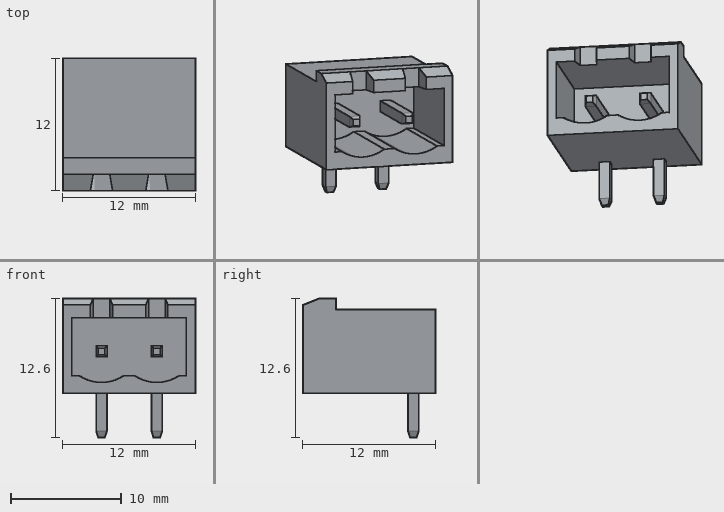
import cadquery as cq

width = 12.0
depth = 12.0
total_height = 12.6
body_height = 7.6
bar_height = 1.0
bar_depth = 3.0
bar_top = body_height + bar_height
slope_run = 1.5
slope_drop = 0.6

side_wall = 0.82
cavity_floor = 1.59
cavity_top = 6.85
cavity_depth = 9.0
channel_half_width = 2.0
channel_bottom = 0.98

notch_front_width = 2.0
notch_back_width = 1.5
notch_depth = slope_run

pitch = 5.0
pin_positions = (-pitch / 2, pitch / 2)
pin_size = 1.0
pin_tip_size = 0.6
taper_length = 0.6
pin_bottom = bar_top - total_height
pin_axis_y = depth - 2.0
pin_axis_z = 3.79
pin_front_y = 2.0


def make_housing():
    """Side profile of the body with its raised, sloped front bar."""
    profile = [
        (0, 0),
        (depth, 0),
        (depth, body_height),
        (bar_depth, body_height),
        (bar_depth, bar_top),
        (slope_run, bar_top),
        (0, bar_top - slope_drop),
    ]
    return cq.Workplane("YZ").polyline(profile).close().extrude(width / 2, both=True)


def make_cavity():
    """Front opening whose floor dips in a circular arc below each pin."""
    half_width = width / 2 - side_wall
    outline = cq.Workplane("XZ").moveTo(-half_width, cavity_top).lineTo(-half_width, cavity_floor)
    for x in pin_positions:
        outline = outline.lineTo(x - channel_half_width, cavity_floor)
        outline = outline.threePointArc((x, channel_bottom), (x + channel_half_width, cavity_floor))
    outline = outline.lineTo(half_width, cavity_floor).lineTo(half_width, cavity_top).close()
    return outline.extrude(-cavity_depth)


def make_notch(x):
    """Notch from the cavity up through the bar, narrowing toward the back."""
    outline = [
        (x - notch_front_width / 2, 0),
        (x + notch_front_width / 2, 0),
        (x + notch_back_width / 2, notch_depth),
        (x - notch_back_width / 2, notch_depth),
    ]
    notch_base = (cavity_floor + cavity_top) / 2
    return cq.Workplane("XY").workplane(offset=notch_base).polyline(outline).close().extrude(bar_top - notch_base)


def make_leg(start, direction, length):
    """Square bar from start along direction, ending in a tapered tip."""
    plane = cq.Plane(origin=start, xDir=(1, 0, 0), normal=direction)
    shank_length = length - taper_length
    shank = cq.Workplane(plane).rect(pin_size, pin_size).extrude(shank_length)
    tip = (
        cq.Workplane(plane)
        .workplane(offset=shank_length)
        .rect(pin_size, pin_size)
        .workplane(offset=taper_length)
        .rect(pin_tip_size, pin_tip_size)
        .loft(ruled=True)
    )
    return shank.union(tip)


def make_pin(x):
    """Contact leg toward the front and solder leg down, meeting at a square corner."""
    half_size = pin_size / 2
    corner_back = pin_axis_y + half_size
    corner_top = pin_axis_z + half_size
    contact_leg = make_leg((x, corner_back, pin_axis_z), (0, -1, 0), corner_back - pin_front_y)
    solder_leg = make_leg((x, pin_axis_y, corner_top), (0, 0, -1), corner_top - pin_bottom)
    return contact_leg.union(solder_leg)


result = make_housing().cut(make_cavity())
for x in pin_positions:
    result = result.cut(make_notch(x)).union(make_pin(x))